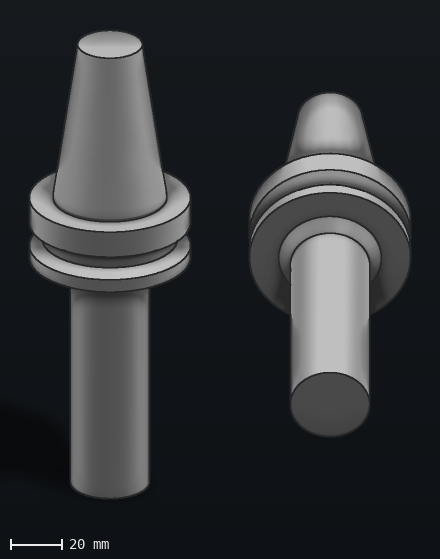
import cadquery as cq

total_length = 189.4
taper_length = 65.3
neck_length = 1.0
flange_length = 26.0
collar_length = 5.0

taper_small_diameter = 25.4
taper_large_diameter = 44.5
flange_diameter = 63.0
groove_diameter = 53.0
collar_diameter = 40.2
shank_diameter = 31.0

upper_rim_length = 10.8
lower_rim_length = 5.3
groove_floor_length = 4.2
groove_flank_length = (flange_length - upper_rim_length - lower_rim_length - groove_floor_length) / 2

gauge_z = total_length - taper_length
flange_top_z = gauge_z - neck_length
flange_bottom_z = flange_top_z - flange_length
shank_top_z = flange_bottom_z - collar_length
groove_top_z = flange_top_z - upper_rim_length
groove_bottom_z = flange_bottom_z + lower_rim_length

section = [
    (0, 0),
    (shank_diameter, 0),
    (shank_diameter, shank_top_z),
    (collar_diameter, flange_bottom_z),
    (flange_diameter, flange_bottom_z),
    (flange_diameter, groove_bottom_z),
    (groove_diameter, groove_bottom_z + groove_flank_length),
    (groove_diameter, groove_top_z - groove_flank_length),
    (flange_diameter, groove_top_z),
    (flange_diameter, flange_top_z),
    (taper_large_diameter, flange_top_z),
    (taper_large_diameter, gauge_z),
    (taper_small_diameter, total_length),
    (0, total_length),
]

result = (
    cq.Workplane("XZ")
    .polyline([(diameter / 2, height) for diameter, height in section])
    .close()
    .revolve(360, (0, 0, 0), (0, 1, 0))
)